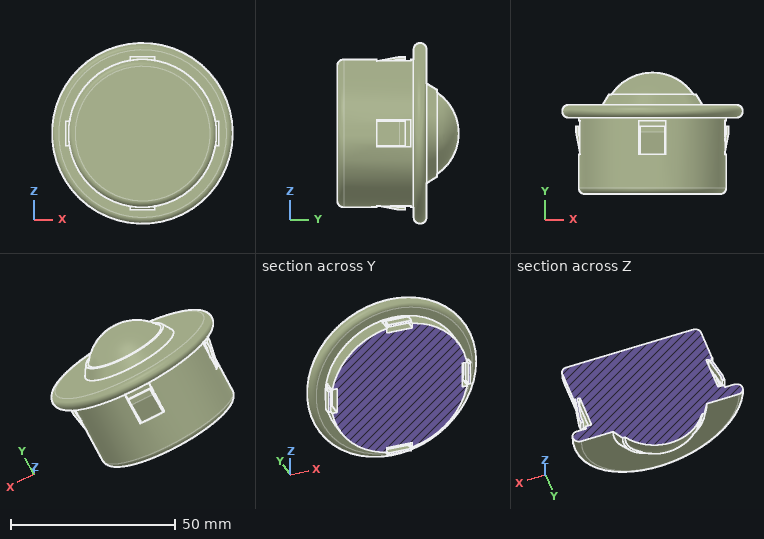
import cadquery as cq

flange_diameter = 55.0
flange_thickness = 4.0
edge_radius = flange_thickness / 2

body_diameter = 45.0
body_length = 23.2
body_radius = body_diameter / 2

collar_base_radius = 15.2
collar_top_radius = 13.25
collar_height = 3.15
ball_radius = 15.0
ball_projection = 9.8

clip_count = 4
window_width = 8.2
window_length = 10.3
window_offset = 0.8
window_depth = 2.0
tab_width = 7.5
tab_tip_offset = 2.5
tab_flat_length = 1.8
tab_thickness = 0.8
tab_projection = 0.75
tab_root_depth = 0.55

flange_rim_radius = flange_diameter / 2 - edge_radius
body_end_radius = body_radius - edge_radius
collar_top = flange_thickness + collar_height
ball_top = flange_thickness + ball_projection
ball_center = ball_top - ball_radius
ball_seat_radius = (ball_radius**2 - (collar_top - ball_center) ** 2) ** 0.5
quarter_arc = edge_radius * 0.5**0.5
ball_mid_radius = ball_seat_radius / 2
ball_mid_height = ball_center + (ball_radius**2 - ball_mid_radius**2) ** 0.5


def revolved_body():
    """Rounded cup, full-round flange, collar and ball as one half profile."""
    return (
        cq.Workplane("XY")
        .moveTo(0, -body_length)
        .lineTo(body_end_radius, -body_length)
        .threePointArc(
            (body_end_radius + quarter_arc, -body_length + edge_radius - quarter_arc),
            (body_radius, -body_length + edge_radius),
        )
        .lineTo(body_radius, 0)
        .lineTo(flange_rim_radius, 0)
        .threePointArc(
            (flange_diameter / 2, edge_radius),
            (flange_rim_radius, flange_thickness),
        )
        .lineTo(collar_base_radius, flange_thickness)
        .lineTo(collar_top_radius, collar_top)
        .lineTo(ball_seat_radius, collar_top)
        .threePointArc((ball_mid_radius, ball_mid_height), (0, ball_top))
        .close()
        .revolve(360, (0, 0), (0, 1))
    )


def clip_window():
    """Flat-bottomed cutter on the +Z side of the body."""
    return cq.Workplane("XY").box(
        window_width, window_length, 2 * window_depth
    ).translate((0, -window_offset - window_length / 2, body_radius))


def spring_tab():
    """Bent strip rising from the far end of the window towards the flange."""
    tip_y = -tab_tip_offset
    bend_y = tip_y - tab_flat_length
    root_y = -window_offset - window_length
    tip_z = body_radius + tab_projection
    root_z = body_radius - tab_root_depth
    return (
        cq.Workplane("YZ")
        .polyline([
            (tip_y, tip_z),
            (bend_y, tip_z),
            (root_y, root_z),
            (root_y, root_z - tab_thickness),
            (bend_y, tip_z - tab_thickness),
            (tip_y, tip_z - tab_thickness),
        ])
        .close()
        .extrude(tab_width / 2, both=True)
    )


result = revolved_body()
for index in range(clip_count):
    angle = index * 360 / clip_count
    result = result.cut(clip_window().rotate((0, 0, 0), (0, 1, 0), angle))
    result = result.union(spring_tab().rotate((0, 0, 0), (0, 1, 0), angle))